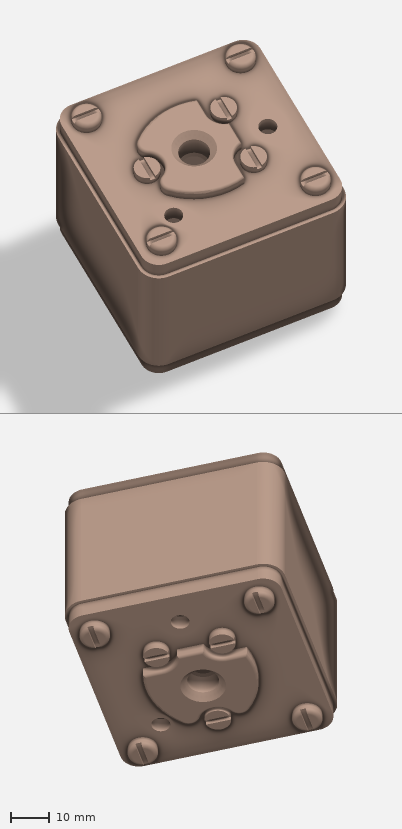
import cadquery as cq
import math

body_width = 60.0
body_height = 38.0
body_corner_radius = 6.0
plate_ledge = 1.0
plate_thickness = 4.5
plate_width = body_width - 2 * plate_ledge
plate_corner_radius = body_corner_radius - plate_ledge
plate_top = body_height / 2 + plate_thickness

cover_screw_offset = 22.5
cover_screw_radius = 4.0
cover_screw_height = 3.0
cover_screw_fillet = 1.2
cover_slot_width = 1.6

clamp_screw_radius = 3.5
clamp_screw_height = 2.5
clamp_slot_width = 1.5
upper_clamp_x = 9.0
upper_clamp_y = 11.0
lower_clamp_y = -15.75
slot_depth = 1.0

hub_height = 3.0
hub_fillet = 0.8
hub_half_width = 15.0
hub_top_y = 10.0
shoulder_y = 5.75
side_radius = 20.0
upper_scallop_radius = 5.5
lower_scallop_radius = 5.0
lobe_radius = 3.0
lobe_x = 6.9
lobe_y = -12.0

bore_y = -2.0
countersink_radius = 6.0
bore_radius = 4.2
bore_floor_radius = 3.4
bore_depth = hub_height + plate_thickness
floor_cone_depth = 0.5

pin_hole_radius = 2.5
pin_hole_points = [(0, 19.5), (15.5, -15.5)]


def rounded_block(width, height, corner_radius):
    """Square block standing on Z = 0 with rounded vertical edges."""
    block = cq.Workplane("XY").rect(width, width).extrude(height)
    return block.edges("|Z").fillet(corner_radius)


def slotted_head(radius, height, slot_length_x, slot_length_y, edge_fillet=0.0):
    """Screw head standing on Z = 0 with a driver slot across its top."""
    head = cq.Workplane("XY").circle(radius).extrude(height)
    if edge_fillet:
        head = head.faces(">Z").edges().fillet(edge_fillet)
    slot = (
        cq.Workplane("XY")
        .workplane(offset=height - slot_depth)
        .rect(slot_length_x, slot_length_y)
        .extrude(slot_depth)
    )
    return head.cut(slot)


def point_on_circle(center, radius, toward):
    """Point on a circle in the direction from its center to another point."""
    dx = toward[0] - center[0]
    dy = toward[1] - center[1]
    scale = radius / math.hypot(dx, dy)
    return (center[0] + dx * scale, center[1] + dy * scale)


def mirrored(point):
    """Reflection of a point across the Y axis."""
    return (-point[0], point[1])


def hub():
    """Shield outline with three screw scallops, extruded and rounded on top."""
    upper_center = (upper_clamp_x, shoulder_y + upper_scallop_radius)
    neck_rise = hub_top_y - upper_center[1]
    neck_reach = math.sqrt(upper_scallop_radius**2 - neck_rise**2)
    neck = (upper_center[0] - neck_reach, hub_top_y)
    shoulder_inner = (upper_center[0], shoulder_y)
    neck_shoulder_middle = ((neck[0] + shoulder_inner[0]) / 2, (neck[1] + shoulder_inner[1]) / 2)
    upper_scallop_mid = point_on_circle(upper_center, upper_scallop_radius, neck_shoulder_middle)

    lobe_center = (lobe_x, lobe_y)
    side_center_x = hub_half_width - side_radius
    side_rise = math.sqrt((side_radius - lobe_radius) ** 2 - (lobe_x - side_center_x) ** 2)
    side_center = (side_center_x, lobe_y + side_rise)
    scallop_drop = math.sqrt((lower_scallop_radius + lobe_radius) ** 2 - lobe_x**2)
    lower_center = (0, lobe_y - scallop_drop)

    shoulder_drop = shoulder_y - side_center[1]
    shoulder_outer = (side_center[0] + math.sqrt(side_radius**2 - shoulder_drop**2), shoulder_y)
    lobe_side = point_on_circle(side_center, side_radius, lobe_center)
    side_middle = ((shoulder_outer[0] + lobe_side[0]) / 2, (shoulder_outer[1] + lobe_side[1]) / 2)
    side_mid = point_on_circle(side_center, side_radius, side_middle)
    lobe_bottom = (lobe_x, lobe_y - lobe_radius)
    lobe_scallop = point_on_circle(lobe_center, lobe_radius, lower_center)
    lower_scallop_top = (0, lower_center[1] + lower_scallop_radius)

    outline = (
        cq.Workplane("XY")
        .moveTo(*mirrored(neck))
        .lineTo(*neck)
        .threePointArc(upper_scallop_mid, shoulder_inner)
        .lineTo(*shoulder_outer)
        .threePointArc(side_mid, lobe_side)
        .threePointArc(lobe_bottom, lobe_scallop)
        .threePointArc(lower_scallop_top, mirrored(lobe_scallop))
        .threePointArc(mirrored(lobe_bottom), mirrored(lobe_side))
        .threePointArc(mirrored(side_mid), mirrored(shoulder_outer))
        .lineTo(*mirrored(shoulder_inner))
        .threePointArc(mirrored(upper_scallop_mid), mirrored(neck))
        .close()
    )
    return outline.extrude(hub_height).faces(">Z").edges().fillet(hub_fillet)


def bore():
    """Cutter for the hub bore: 45 degree countersink, cylinder, conical floor."""
    bore_bottom = hub_height - bore_depth
    countersink_bottom = hub_height - (countersink_radius - bore_radius)
    profile = (
        cq.Workplane("XZ")
        .moveTo(0, hub_height)
        .lineTo(countersink_radius, hub_height)
        .lineTo(bore_radius, countersink_bottom)
        .lineTo(bore_radius, bore_bottom)
        .lineTo(bore_floor_radius, bore_bottom - floor_cone_depth)
        .lineTo(0, bore_bottom - floor_cone_depth)
        .close()
    )
    return profile.revolve(360, (0, 0, 0), (0, 1, 0)).translate((0, bore_y, 0))


def half_housing():
    """Upper half: half of the body, one plate and everything mounted on it."""
    half = rounded_block(body_width, body_height / 2, body_corner_radius)
    plate = rounded_block(plate_width, plate_thickness, plate_corner_radius)
    half = half.union(plate.translate((0, 0, body_height / 2)))
    half = half.union(hub().translate((0, 0, plate_top)))

    cover_screw = slotted_head(
        cover_screw_radius,
        cover_screw_height,
        cover_slot_width,
        2 * cover_screw_radius,
        cover_screw_fillet,
    )
    for x in (-cover_screw_offset, cover_screw_offset):
        for y in (-cover_screw_offset, cover_screw_offset):
            half = half.union(cover_screw.translate((x, y, plate_top)))

    clamp_screw = slotted_head(
        clamp_screw_radius,
        clamp_screw_height,
        2 * clamp_screw_radius,
        clamp_slot_width,
    )
    clamp_points = [(-upper_clamp_x, upper_clamp_y), (upper_clamp_x, upper_clamp_y), (0, lower_clamp_y)]
    for x, y in clamp_points:
        half = half.union(clamp_screw.translate((x, y, plate_top)))

    half = half.cut(bore().translate((0, 0, plate_top)))
    pin_holes = (
        cq.Workplane("XY")
        .workplane(offset=plate_top - plate_thickness)
        .pushPoints(pin_hole_points)
        .circle(pin_hole_radius)
        .extrude(plate_thickness)
    )
    return half.cut(pin_holes)


upper_half = half_housing()
result = upper_half.union(upper_half.mirror("XY")).clean()